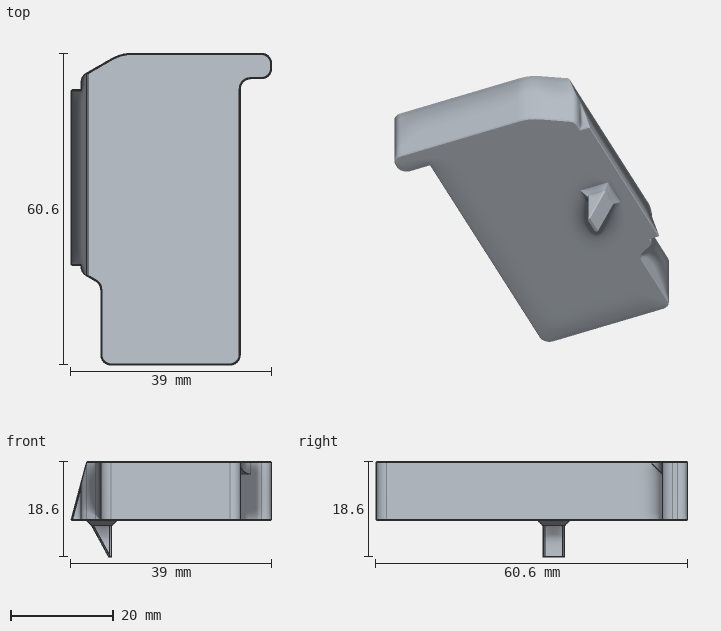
import cadquery as cq
import math

width = 38.99
length = 60.64
thickness = 11.5
corner_radius = 2.0
edge_break = 0.2

side_x = 1.93
step_x = 5.75
right_x = 32.9
arm_width = 4.94
arm_y = length - arm_width
slope_angle = 30.0
slope = math.tan(math.radians(slope_angle))
front_slope_y = 17.97
back_slope_y = 56.15
back_radius = 8.0

wedge_front_y = 19.34
wedge_back_y = 53.58
wedge_edge_break = 0.25
lean_angle = math.radians(15.0)
wedge_foot_x = -edge_break * math.sin(lean_angle)
wedge_top_x = wedge_foot_x + thickness * math.tan(lean_angle)

gusset_depth = 2.45

hook_height = 7.06
hook_left_x = 4.0
hook_right_x = 7.87
hook_tip_x = 7.3
hook_front_y = 32.49
hook_back_y = 36.66
hook_edge_break = 0.37
hook_slope_break = 0.3
hook_flank_break = 0.13
flare = 1.0
hook_length = hook_back_y - hook_front_y


def vertical_edges(body, places, radius):
    """Round the vertical edges standing at the given (x, y) places."""
    reach = 0.1
    for x, y in places:
        picker = cq.selectors.BoxSelector(
            (x - reach, y - reach, -reach),
            (x + reach, y + reach, thickness + reach),
        )
        body = body.edges(picker).fillet(radius)
    return body


def make_plate():
    front_slope_end = (step_x, front_slope_y - (step_x - side_x) * slope)
    back_slope_end = (side_x + (length - back_slope_y) / slope, length)
    rounded_corners = [
        (step_x, 0),
        (right_x, 0),
        (width, arm_y),
        (width, length),
        (side_x, back_slope_y),
        (side_x, front_slope_y),
        front_slope_end,
    ]
    outline = [
        (step_x, 0),
        (right_x, 0),
        (right_x, arm_y),
        (width, arm_y),
        (width, length),
        back_slope_end,
        (side_x, back_slope_y),
        (side_x, front_slope_y),
        front_slope_end,
    ]
    plate = cq.Workplane("XY").polyline(outline).close().extrude(thickness)
    plate = vertical_edges(plate, rounded_corners, corner_radius)
    return vertical_edges(plate, [back_slope_end], back_radius)


def make_wedge():
    """Triangular bar whose inclined face leans in from the plate's underside."""
    profile = [
        (wedge_foot_x, 0),
        (wedge_top_x, thickness),
        (step_x, thickness),
        (step_x, 0),
    ]
    bar = (
        cq.Workplane("XZ", origin=(0, wedge_front_y, 0))
        .polyline(profile).close()
        .extrude(-(wedge_back_y - wedge_front_y))
    )
    inclined_ends = bar.faces("<X").edges("not |Y")
    return inclined_ends.chamfer(wedge_edge_break)


def make_lean_cut():
    """Everything outside the inclined face, over the full length."""
    profile = [(wedge_foot_x, 0), (wedge_top_x, thickness), (wedge_foot_x, thickness)]
    return cq.Workplane("XZ").polyline(profile).close().extrude(-length)


def make_gusset():
    """Concave corner fill under the arm, with a 45 degree underside."""
    r = corner_radius
    fill = (
        cq.Workplane("XY")
        .moveTo(right_x, arm_y)
        .lineTo(right_x, arm_y - r)
        .radiusArc((right_x + r, arm_y), r)
        .close()
        .extrude(thickness)
    )
    base_z = thickness - gusset_depth
    underside = [(arm_y, 0), (arm_y, base_z), (arm_y - r, base_z + r), (arm_y - r, 0)]
    cut = (
        cq.Workplane("YZ", origin=(right_x, 0, 0))
        .polyline(underside).close()
        .extrude(r)
    )
    return fill.cut(cut)


def make_hook():
    profile = [
        (hook_left_x, -flare),
        (hook_tip_x, -hook_height),
        (hook_right_x, -hook_height),
        (hook_right_x, -flare),
    ]
    spike = (
        cq.Workplane("XZ", origin=(0, hook_front_y, 0))
        .polyline(profile).close()
        .extrude(-hook_length)
    )
    spike = spike.edges("|Z").chamfer(hook_edge_break)
    spike = spike.edges("not (#Z or |Z)").chamfer(hook_slope_break, hook_flank_break)
    hook_width = hook_right_x - hook_left_x
    center = ((hook_left_x + hook_right_x) / 2, hook_front_y + hook_length / 2)
    root = (
        cq.Workplane("XY", origin=(*center, -flare))
        .rect(hook_width, hook_length)
        .workplane(offset=flare)
        .rect(hook_width + 2 * flare, hook_length + 2 * flare)
        .loft()
    )
    return spike.union(root)


body = make_plate().union(make_wedge()).cut(make_lean_cut()).union(make_gusset())
body = body.faces(">Z or <Z").edges().chamfer(edge_break)
result = body.union(make_hook())